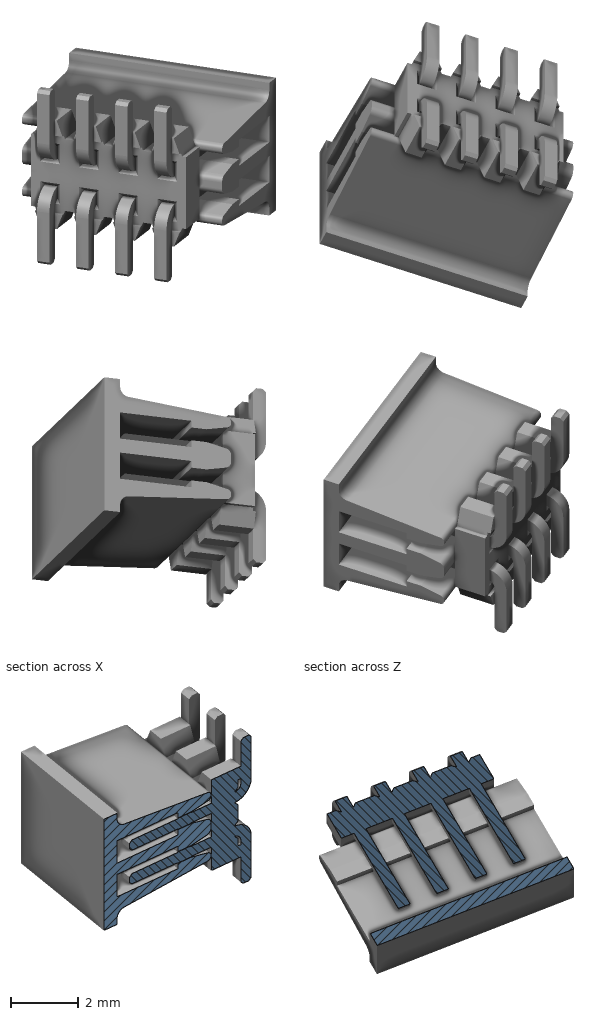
import cadquery as cq


overall_depth = 5.5
overall_height = 5.5
columns = 4
pitch = 1.27
pin = 0.4
pin_tip_y = 4.55
pin_chamfer = 0.1
bend_inner_radius = 0.25
row_z = pitch / 2

block_width = 5.045
block_height = 2.275
block_front_y = 0.5
block_rear_y = 1.5
tooth_front_y = pin
tooth_tip_z = 1.715
tooth_base_width = 0.975
tooth_tip_width = 0.52
recess_height = 2.47
funnel_width = 0.64
funnel_depth = (funnel_width - pin) / 2

cap_width = 6.5
cap_height = 4.2
wall = 0.5
wall_front_y = overall_depth - wall
arm_nose_y = block_rear_y
slot_height = 0.825
grip_rear_y = 2.75
grip_front_y = 2.275
grip_relief = 0.16
outer_arm_root_z = 1.59
outer_arm_nose_z = 1.29
root_radius = 0.29
outer_nose_radius = 0.15
middle_nose_radius = 0.2

pin_inner_z = row_z - pin / 2
pin_outer_z = row_z + pin / 2
slot_inner_z = row_z - slot_height / 2
slot_outer_z = row_z + slot_height / 2
column_x = [(i - (columns - 1) / 2) * pitch for i in range(columns)]


def mirrored(shape):
    """Shape joined with its mirror image below the plane Z = 0."""
    return shape.union(shape.mirror("XY"))


def across_cap(points):
    """Prism with a (Y, Z) outline, running the full width of the cap."""
    return cq.Workplane("YZ").polyline(points).close().extrude(cap_width / 2, both=True)


def outer_arm():
    """Tapered upper arm with its grip pressing down on the upper row."""
    arm = across_cap([
        (wall_front_y, outer_arm_root_z),
        (arm_nose_y, outer_arm_nose_z),
        (arm_nose_y, pin_outer_z + grip_relief),
        (grip_front_y, pin_outer_z),
        (grip_rear_y, pin_outer_z),
        (grip_rear_y, slot_outer_z),
        (wall_front_y, slot_outer_z),
    ])
    return arm.edges("|X and <Y").fillet(outer_nose_radius)


def middle_arm():
    """Arm between the rows, with a grip on its upper and lower side."""
    upper_side = [
        (wall_front_y, slot_inner_z),
        (grip_rear_y, slot_inner_z),
        (grip_rear_y, pin_inner_z),
        (grip_front_y, pin_inner_z),
        (arm_nose_y, pin_inner_z - grip_relief),
    ]
    lower_side = [(y, -z) for y, z in reversed(upper_side)]
    arm = across_cap(upper_side + lower_side)
    return arm.edges("|X and <Y").fillet(middle_nose_radius)


def make_cap():
    half = cap_height / 2
    cap = across_cap([
        (wall_front_y, -half),
        (wall_front_y, half),
        (overall_depth, half),
        (overall_depth, -half),
    ])
    cap = cap.union(mirrored(outer_arm())).union(middle_arm())
    for root_z in (outer_arm_root_z, -outer_arm_root_z):
        root_edge = cq.selectors.NearestToPointSelector((0, wall_front_y, root_z))
        cap = cap.edges(root_edge).fillet(root_radius)
    return cap


def tooth(x):
    """Trapezoidal tooth on top of the block, reaching forward behind a tail."""
    base_z = block_height / 2
    return (
        cq.Workplane("XZ", origin=(x, tooth_front_y, 0))
        .moveTo(-tooth_base_width / 2, base_z)
        .lineTo(-tooth_tip_width / 2, tooth_tip_z)
        .lineTo(tooth_tip_width / 2, tooth_tip_z)
        .lineTo(tooth_base_width / 2, base_z)
        .close()
        .extrude(tooth_front_y - block_rear_y)
    )


def funnel(x):
    """Tapered recess around an upper pin where it leaves the block."""
    return (
        cq.Workplane("XZ", origin=(x, block_front_y, row_z))
        .rect(funnel_width, funnel_width)
        .workplane(offset=-funnel_depth)
        .rect(pin, pin)
        .loft(ruled=True)
    )


def contact(x):
    """Upper pin: straight shaft, quarter bend and a tail pointing up."""
    bend_outer_radius = bend_inner_radius + pin
    bend_y = bend_outer_radius
    bend_z = pin_inner_z + bend_outer_radius
    tail_end_z = overall_height / 2
    diagonal = 0.5 ** 0.5
    strip = (
        cq.Workplane("YZ", origin=(x, 0, 0))
        .moveTo(pin_tip_y, pin_inner_z)
        .lineTo(bend_y, pin_inner_z)
        .threePointArc(
            (bend_y - bend_outer_radius * diagonal, bend_z - bend_outer_radius * diagonal),
            (0, bend_z),
        )
        .lineTo(0, tail_end_z)
        .lineTo(pin, tail_end_z)
        .lineTo(pin, bend_z)
        .threePointArc(
            (bend_y - bend_inner_radius * diagonal, bend_z - bend_inner_radius * diagonal),
            (bend_y, pin_outer_z),
        )
        .lineTo(pin_tip_y, pin_outer_z)
        .close()
        .extrude(pin / 2, both=True)
    )
    return strip.edges("|X and (>Y or >Z)").chamfer(pin_chamfer)


def make_header():
    block = cq.Workplane("XY").box(block_width, block_rear_y - tooth_front_y, block_height)
    block = block.translate((0, (block_rear_y + tooth_front_y) / 2, 0))
    for x in column_x:
        block = block.union(mirrored(tooth(x)))

    recess = cq.Workplane("XY").box(block_width, block_front_y - tooth_front_y, recess_height)
    block = block.cut(recess.translate((0, (block_front_y + tooth_front_y) / 2, 0)))

    for x in column_x:
        block = block.cut(funnel(x)).cut(funnel(x).mirror("XY"))
    for x in column_x:
        block = block.union(contact(x)).union(contact(x).mirror("XY"))
    return block


cap = make_cap()
header = make_header()
result = cq.Compound.makeCompound([*cap.solids().vals(), *header.solids().vals()])